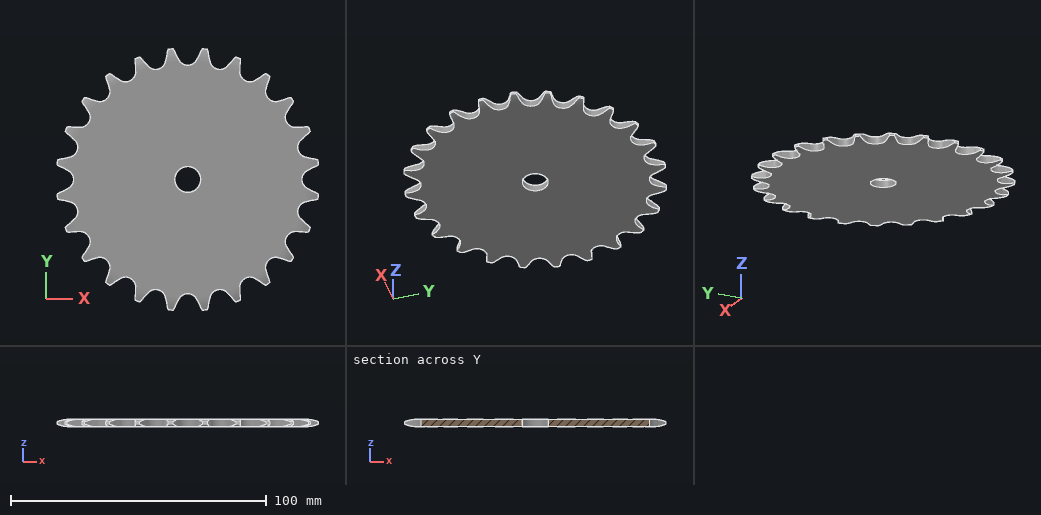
import math

import cadquery as cq

chain_pitch = 12.7
roller_diameter = 7.75
tooth_count = 24

thickness = 3.0
bore_diameter = 10.0
tip_diameter = 103.0

side_start_radius = 46.5
side_round_radius = chain_pitch

tooth_angle = 360 / tooth_count
seat_ratio = 0.5025
seat_clearance = 0.0381
working_offset = 0.8 * roller_diameter
topping_offset = 1.4 * roller_diameter
seat_radius = seat_ratio * roller_diameter + seat_clearance
working_radius = working_offset + seat_radius
seat_angle = math.radians(55 - 60 / tooth_count)
working_angle = math.radians(18 - 56 / tooth_count)
topping_angle = math.radians(17 - 64 / tooth_count)
flank_length = topping_offset * math.sin(topping_angle) - working_offset * math.sin(working_angle)
topping_reach = topping_offset * math.cos(topping_angle) + working_offset * math.cos(working_angle)
topping_radius = topping_reach - working_radius

pitch_radius = chain_pitch / (2 * math.sin(math.pi / tooth_count))
root_radius = pitch_radius - seat_radius
tip_radius = tip_diameter / 2

cut_overrun = 0.5


def polar_point(center, radius, angle):
    """Point on a circle, at an angle measured from the +X direction."""
    return center[0] + radius * math.cos(angle), center[1] + radius * math.sin(angle)


def mirrored(point):
    return -point[0], point[1]


def tooth_gap():
    """Cutter for the gap on +Y, symmetric about the Y axis."""
    quarter_turn = math.pi / 2
    seat_center = (0, pitch_radius)
    seat_end_angle = seat_angle - quarter_turn
    seat_end = polar_point(seat_center, seat_radius, seat_end_angle)

    working_center = polar_point(seat_end, -working_radius, seat_end_angle)
    working_end_angle = seat_end_angle + working_angle
    working_end = polar_point(working_center, working_radius, working_end_angle)

    flank_end = polar_point(working_end, flank_length, working_end_angle + quarter_turn)

    topping_center = polar_point(flank_end, topping_radius, working_end_angle)
    topping_start_angle = working_end_angle + math.pi
    top_height = tip_radius + cut_overrun - topping_center[1]
    topping_end_angle = math.pi - math.asin(top_height / topping_radius)
    topping_middle_angle = (topping_start_angle + topping_end_angle) / 2
    topping_middle = polar_point(topping_center, topping_radius, topping_middle_angle)
    topping_end = polar_point(topping_center, topping_radius, topping_end_angle)

    return (
        cq.Workplane("XY")
        .workplane(offset=-thickness)
        .moveTo(*mirrored(topping_end))
        .threePointArc(mirrored(topping_middle), mirrored(flank_end))
        .lineTo(*mirrored(working_end))
        .lineTo(*mirrored(seat_end))
        .threePointArc((0, root_radius), seat_end)
        .lineTo(*working_end)
        .lineTo(*flank_end)
        .threePointArc(topping_middle, topping_end)
        .close()
        .extrude(2 * thickness)
    )


def blank():
    """Disc with a bore, thinned toward its rim by an arc on both sides."""
    half_thickness = thickness / 2
    bore_radius = bore_diameter / 2

    def side_height(radius):
        depth = radius - side_start_radius
        drop = side_round_radius - math.sqrt(side_round_radius**2 - depth**2)
        return half_thickness - drop

    middle_radius = (side_start_radius + tip_radius) / 2
    middle_height = side_height(middle_radius)
    tip_height = side_height(tip_radius)

    return (
        cq.Workplane("XZ")
        .moveTo(bore_radius, -half_thickness)
        .lineTo(side_start_radius, -half_thickness)
        .threePointArc((middle_radius, -middle_height), (tip_radius, -tip_height))
        .lineTo(tip_radius, tip_height)
        .threePointArc((middle_radius, middle_height), (side_start_radius, half_thickness))
        .lineTo(bore_radius, half_thickness)
        .close()
        .revolve(360, (0, 0, 0), (0, 1, 0))
    )


def sprocket():
    body = blank()
    gap = tooth_gap()
    for index in range(tooth_count):
        body = body.cut(gap.rotate((0, 0, 0), (0, 0, 1), index * tooth_angle))
    return body


result = sprocket()